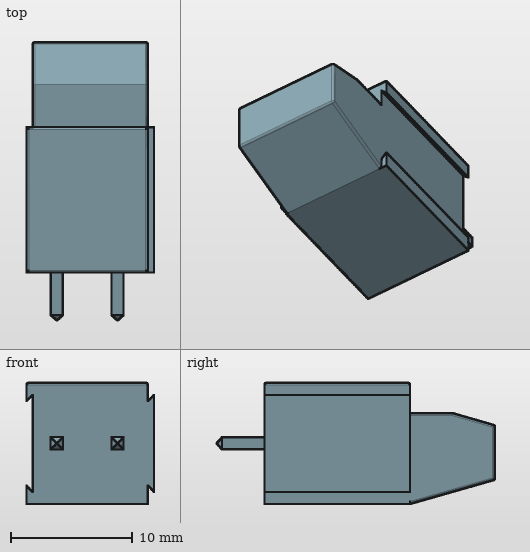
import cadquery as cq

body_width = 10.0
body_length = 12.0
body_height = 10.0
edge_radius = 0.2

dovetail_depth = 0.5
dovetail_wide_margin = 1.0
dovetail_narrow_margin = dovetail_wide_margin + dovetail_depth

nose_length = 7.0
nose_flat_length = nose_length / 2
nose_top = 7.5
nose_end_bottom = 2.0
nose_end_top = 6.5

pin_width = 1.0
pin_pitch = body_width / 2
pin_straight_length = 3.49
pin_tip_length = 0.45

side_x = body_width / 2
groove_floor_x = -side_x + dovetail_depth


def make_block():
    """Housing block with its four top edges rounded."""
    block = cq.Workplane("XY").box(body_width, body_length, body_height, (True, False, False))
    return block.faces(">Z").edges().fillet(edge_radius)


def make_dovetail(root_x):
    """Dovetail prism along the block, widening from root_x towards +X."""
    wide_x = root_x + dovetail_depth
    profile = [
        (root_x, dovetail_narrow_margin),
        (wide_x, dovetail_wide_margin),
        (wide_x, body_height - dovetail_wide_margin),
        (root_x, body_height - dovetail_narrow_margin),
    ]
    return cq.Workplane("XZ").polyline(profile).close().extrude(-body_length)


def make_nose():
    """Nose with sloped top and bottom, rounded along its sides and around its end."""
    nose_end_y = body_length + nose_length
    slope_start_y = body_length + nose_flat_length
    profile = [
        (body_length, 0),
        (nose_end_y, nose_end_bottom),
        (nose_end_y, nose_end_top),
        (slope_start_y, nose_top),
        (body_length, nose_top),
    ]
    nose = (
        cq.Workplane("YZ", origin=(groove_floor_x, 0, 0))
        .polyline(profile)
        .close()
        .extrude(side_x - groove_floor_x)
    )
    root_edges = nose.faces("<Y").edges().vals()
    outer_edges = nose.faces("<X or >X or >Y").edges().vals()
    rounded_edges = [edge for edge in outer_edges if edge not in root_edges]
    return nose.newObject(rounded_edges).fillet(edge_radius)


def make_pin(center_x):
    """Square pin pointing to -Y, its pyramid point being the overlap of two crossed arrow shapes."""
    half = pin_width / 2
    profile = [
        (-half, 0),
        (-half, -pin_straight_length),
        (0, -pin_straight_length - pin_tip_length),
        (half, -pin_straight_length),
        (half, 0),
    ]
    arrow = cq.Workplane("XY").polyline(profile).close().extrude(half, both=True)
    crossed_arrow = arrow.rotate((0, 0, 0), (0, 1, 0), 90)
    return arrow.intersect(crossed_arrow).translate((center_x, 0, body_height / 2))


result = make_block().cut(make_dovetail(-side_x)).union(make_dovetail(side_x)).union(make_nose())
for pin_x in (-pin_pitch / 2, pin_pitch / 2):
    result = result.union(make_pin(pin_x))